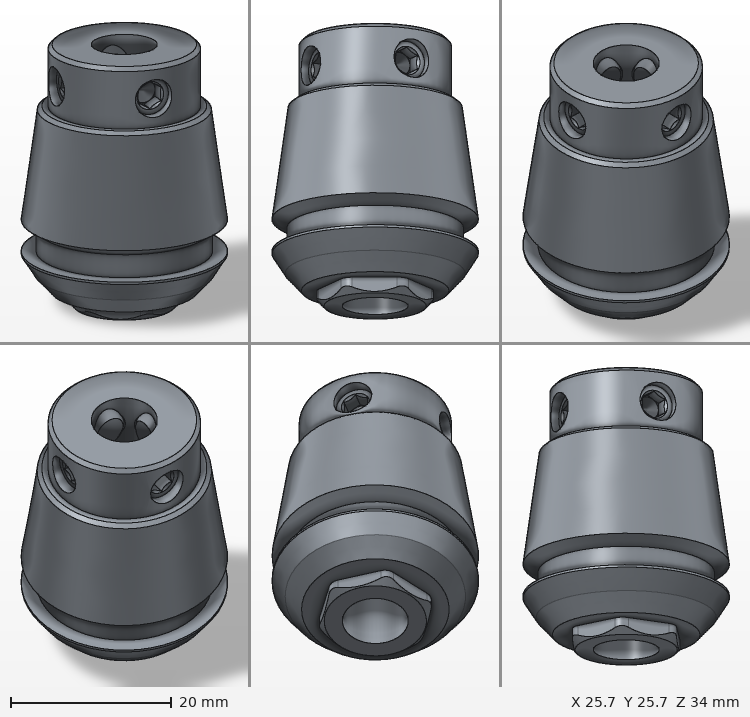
import cadquery as cq
import math

total_height = 34.0
rim_radius = 12.85
bore_diameter = 8.2

foot_height = 1.97
foot_flats = 13.0
foot_corner_fillet = 1.63
foot_end_radius = 6.35

flange_base_radius = 9.18
flange_break_radius = 11.22
flange_break_z = 4.18
rim_bottom_z = 6.73
rim_top_z = 7.05

groove_radius = 22.0 / 2
groove_top_z = 10.03
sleeve_widest_z = 11.15
sleeve_top_radius = 10.85
sleeve_top_z = 25.98
sleeve_chamfer_width = 0.58
sleeve_chamfer_height = 0.45

head_radius = 19.0 / 2
head_chamfer = 0.5

screw_count = 4
screw_z = 29.7
screw_hole_diameter = 4.93
screw_diameter = 6.0
screw_length = 5.0
screw_tip_distance = 3.13
screw_tip_chamfer = 1.0
socket_flats = 3.03
socket_depth = 2.0
socket_mouth_diameter = 3.65
drill_point_angle = 120.0


def hexagon_corner_diameter(flats):
    return flats / math.cos(math.pi / 6)


def make_body():
    """Turned body above the hexagon foot, still without its bore."""
    return (
        cq.Workplane("XZ")
        .moveTo(0, foot_height)
        .lineTo(flange_base_radius, foot_height)
        .lineTo(flange_break_radius, flange_break_z)
        .lineTo(rim_radius, rim_bottom_z)
        .lineTo(rim_radius, rim_top_z)
        .lineTo(groove_radius, rim_top_z)
        .lineTo(groove_radius, groove_top_z)
        .lineTo(rim_radius, sleeve_widest_z)
        .lineTo(sleeve_top_radius, sleeve_top_z - sleeve_chamfer_height)
        .lineTo(sleeve_top_radius - sleeve_chamfer_width, sleeve_top_z)
        .lineTo(head_radius, sleeve_top_z)
        .lineTo(head_radius, total_height - head_chamfer)
        .lineTo(head_radius - head_chamfer, total_height)
        .lineTo(0, total_height)
        .close()
        .revolve(360, (0, 0, 0), (0, 1, 0))
    )


def make_foot():
    """Hexagon with rounded corners, its lower end turned to a 45 degree cone."""
    hexagon = (
        cq.Workplane("XY")
        .polygon(6, hexagon_corner_diameter(foot_flats))
        .extrude(foot_height)
        .edges("|Z")
        .fillet(foot_corner_fillet)
    )
    end_cone = cq.Workplane(
        cq.Solid.makeCone(foot_end_radius, foot_end_radius + foot_height, foot_height)
    )
    return hexagon.intersect(end_cone)


def make_socket():
    """Cutter for a hexagon socket that opens at Z = 0 and goes down."""
    down = cq.Vector(0, 0, -1)
    origin = cq.Vector(0, 0, 0)
    hexagon = (
        cq.Workplane("XY")
        .polygon(6, hexagon_corner_diameter(socket_flats))
        .extrude(-socket_depth)
    )
    mouth_radius = socket_mouth_diameter / 2
    mouth = cq.Solid.makeCone(mouth_radius, 0, mouth_radius, origin, down)
    drill_radius = socket_flats / 2
    point_height = drill_radius / math.tan(math.radians(drill_point_angle / 2))
    drill_point = cq.Solid.makeCone(
        drill_radius, 0, point_height, cq.Vector(0, 0, -socket_depth), down
    )
    return hexagon.union(cq.Workplane(mouth)).union(cq.Workplane(drill_point))


def make_screw():
    """Set screw along Z, with its flat tip at the height of the tip distance."""
    screw = (
        cq.Workplane("XY")
        .circle(screw_diameter / 2)
        .extrude(screw_length)
        .faces("<Z")
        .chamfer(screw_tip_chamfer)
        .cut(make_socket().translate((0, 0, screw_length)))
    )
    return screw.translate((0, 0, screw_tip_distance))


def place_radially(shape, index):
    """Turn a shape from the Z axis to a horizontal radius at the screw height."""
    return (
        shape.rotate((0, 0, 0), (0, 1, 0), 90)
        .rotate((0, 0, 0), (0, 0, 1), index * 360 / screw_count)
        .translate((0, 0, screw_z))
    )


result = make_body().union(make_foot())

bore = cq.Workplane("XY").circle(bore_diameter / 2).extrude(total_height)
result = result.cut(bore)

screw_hole = cq.Workplane("XY").circle(screw_hole_diameter / 2).extrude(rim_radius)
screw = make_screw()
for index in range(screw_count):
    result = result.cut(place_radially(screw_hole, index))
    result = result.union(place_radially(screw, index))